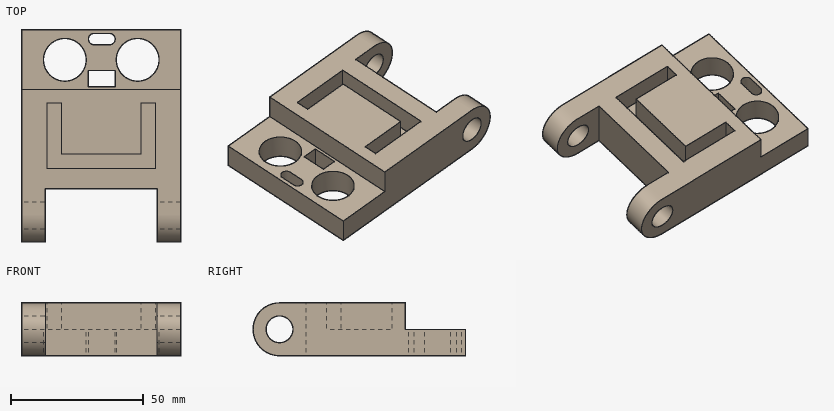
import cadquery as cq

width = 60.0
length = 80.0
height = 20.0

shelf_depth = 22.6
shelf_height = height / 2

arm_thickness = 9.0
arm_length = 20.0
arm_radius = height / 2
pin_diameter = 10.0

eye_diameter = 16.0
eye_spacing = 27.4
eye_back_offset = 11.4
opening_length = 10.0
opening_x = 0.2
slot_width = 4.2
slot_back_offset = 3.6
window_width = 6.0
window_back_offset = 18.5

groove_outer_width = 40.8
groove_length = 24.7
groove_width = 5.4
groove_shelf_gap = 5.0
groove_depth = 10.0

back_y = length / 2
front_y = -length / 2
shelf_y = back_y - shelf_depth
pin_y = front_y + arm_radius


def make_body():
    """Side profile in the YZ plane, extruded across the full width."""
    return (
        cq.Workplane("YZ")
        .moveTo(back_y, 0)
        .lineTo(back_y, shelf_height)
        .lineTo(shelf_y, shelf_height)
        .lineTo(shelf_y, height)
        .lineTo(pin_y, height)
        .threePointArc((front_y, height - arm_radius), (pin_y, 0))
        .close()
        .extrude(width / 2, both=True)
    )


def make_arm_gap():
    """Space between the two hinge arms."""
    gap_width = width - 2 * arm_thickness
    return (
        cq.Workplane("XY")
        .center(0, front_y + arm_length / 2)
        .rect(gap_width, arm_length)
        .extrude(height)
    )


def make_pin_hole():
    """Pin hole through both arms along X."""
    return (
        cq.Workplane("YZ")
        .center(pin_y, height - arm_radius)
        .circle(pin_diameter / 2)
        .extrude(width / 2, both=True)
    )


def make_eyes():
    """Pair of round holes through the shelf."""
    eye_y = back_y - eye_back_offset
    return (
        cq.Workplane("XY")
        .pushPoints([(side * eye_spacing / 2, eye_y) for side in (-1, 1)])
        .circle(eye_diameter / 2)
        .extrude(shelf_height)
    )


def make_slot():
    """Round-ended slot near the back edge of the shelf."""
    return (
        cq.Workplane("XY")
        .center(opening_x, back_y - slot_back_offset)
        .slot2D(opening_length, slot_width)
        .extrude(shelf_height)
    )


def make_window():
    """Rectangular opening near the step of the shelf."""
    return (
        cq.Workplane("XY")
        .center(opening_x, back_y - window_back_offset)
        .rect(opening_length, window_width)
        .extrude(shelf_height)
    )


def make_groove():
    """U-shaped groove sunk into the top face around a raised pad."""
    groove_back_y = shelf_y - groove_shelf_gap
    floor = cq.Workplane("XY").workplane(offset=height - groove_depth)
    outer = (
        floor.center(0, groove_back_y - groove_length / 2)
        .rect(groove_outer_width, groove_length)
        .extrude(groove_depth)
    )
    pad_width = groove_outer_width - 2 * groove_width
    pad_length = groove_length - groove_width
    pad = (
        floor.center(0, groove_back_y - pad_length / 2)
        .rect(pad_width, pad_length)
        .extrude(groove_depth)
    )
    return outer.cut(pad)


result = (
    make_body()
    .cut(make_arm_gap())
    .cut(make_pin_hole())
    .cut(make_eyes())
    .cut(make_slot())
    .cut(make_window())
    .cut(make_groove())
)